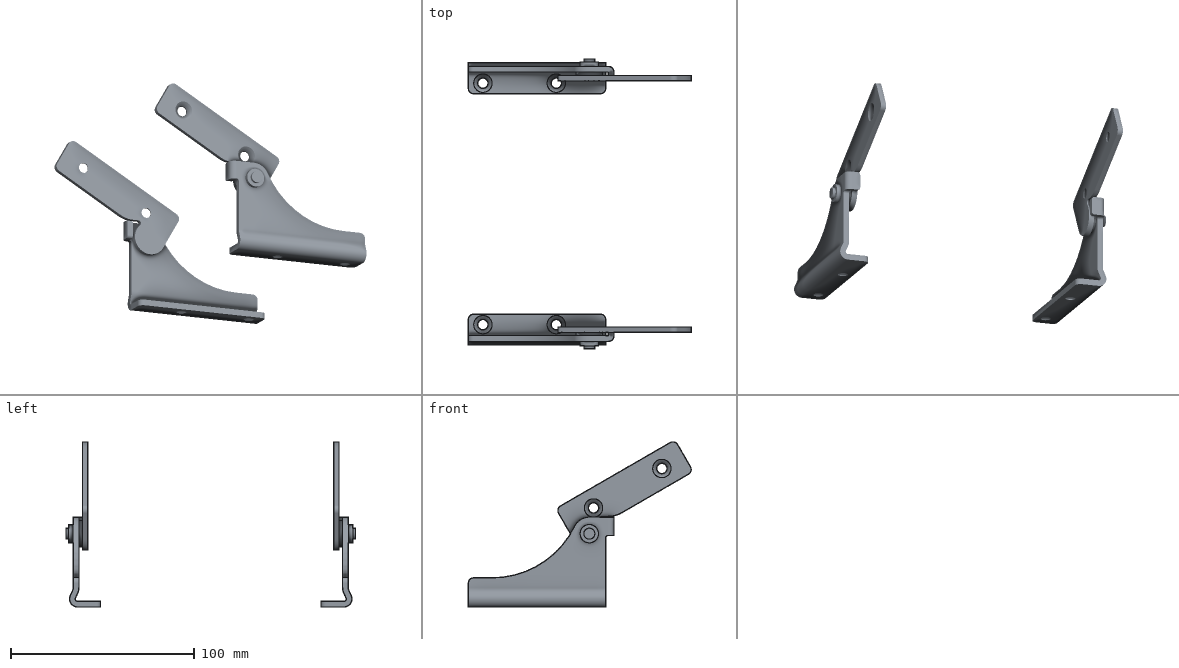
import cadquery as cq
import math


pin_end = 79.0
washer_outer = 77.4
plate_outer = 75.0
sheet = 3.2
plate_inner = plate_outer - sheet
arm_outer = 70.0
arm_thickness = 3.0
arm_inner = arm_outer - arm_thickness
foot_edge = 60.0

pivot_x = 66.0
pivot_z = 40.0
pin_radius = 3.0
pin_tail_radius = 2.5
washer_radius = 5.0
spacer_radius = 7.25
knuckle_radius = 9.0
cut_reach = 100.0

bracket_length = 75.0
toe_height = 16.0
corner_radius = 3.0
sweep_radius = 50.0
bracket_top = pivot_z + knuckle_radius
tab_height = 10.0
tab_outer_x = 79.5
tab_inner_x = tab_outer_x - sheet
tab_bottom = bracket_top - tab_height
tab_corner_radius = 1.5

joggle = 2.0
slope_angle = math.radians(24)
foot_bend_radius = 4.4
plate_bend_radius = 3.0

screw_radius = 2.75
sink_radius = 5.0
sink_depth = sink_radius - screw_radius
foot_hole_xs = (8.0, 48.0)
foot_hole_y = 65.8

arm_angle = 30.0
arm_end = 66.0
arm_low = 1.0
arm_high = 21.0
arm_hole_us = (9.0, 52.0)
arm_hole_v = (arm_low + arm_high) / 2
notch_blend_start = 21.0
notch_blend_radius = 15.0
notch_root_radius = 1.5


def polar(center, radius, angle):
    """Point at the given angle (radians) on a circle."""
    return (center[0] + radius * math.cos(angle), center[1] + radius * math.sin(angle))


def side_plane(outward):
    """XZ plane facing -Y, at the given distance outward."""
    return cq.Workplane("XZ", origin=(0, -outward, 0))


def pivot_disc(radius, inner, outer):
    """Cylinder on the pivot axis between two outward distances."""
    return side_plane(inner).center(pivot_x, pivot_z).circle(radius).extrude(outer - inner)


def countersunk_cutter(depth):
    """Screw hole along Z with its countersink mouth at the origin, facing +Z."""
    return (
        cq.Workplane("XZ")
        .lineTo(sink_radius, 0)
        .lineTo(screw_radius, -sink_depth)
        .lineTo(screw_radius, -depth)
        .lineTo(0, -depth)
        .close()
        .revolve(360, (0, 0), (0, 1))
    )


def bent_sheet():
    """Foot, foot bend, sloping strip and upright plate as one bent strip along X."""
    bend_rise = 1 - math.cos(slope_angle)
    slope_run = joggle - (foot_bend_radius + plate_bend_radius) * bend_rise
    slope_rise = slope_run / math.tan(slope_angle)
    foot_center = (plate_outer + joggle - foot_bend_radius, foot_bend_radius)
    plate_center = (
        plate_outer + plate_bend_radius,
        foot_bend_radius + slope_rise + (foot_bend_radius + plate_bend_radius) * math.sin(slope_angle),
    )
    foot_inner_radius = foot_bend_radius - sheet
    plate_inner_radius = plate_bend_radius + sheet
    foot_mid = (slope_angle - math.pi / 2) / 2
    plate_mid = math.pi + slope_angle / 2
    plate_start = math.pi + slope_angle

    plane = cq.Plane(origin=(0, 0, 0), xDir=(0, -1, 0), normal=(-1, 0, 0))
    return (
        cq.Workplane(plane)
        .moveTo(foot_edge, 0)
        .lineTo(foot_center[0], 0)
        .threePointArc(
            polar(foot_center, foot_bend_radius, foot_mid),
            polar(foot_center, foot_bend_radius, slope_angle),
        )
        .lineTo(*polar(plate_center, plate_bend_radius, plate_start))
        .threePointArc(
            polar(plate_center, plate_bend_radius, plate_mid),
            polar(plate_center, plate_bend_radius, math.pi),
        )
        .lineTo(plate_outer, bracket_top)
        .lineTo(plate_inner, bracket_top)
        .lineTo(*polar(plate_center, plate_inner_radius, math.pi))
        .threePointArc(
            polar(plate_center, plate_inner_radius, plate_mid),
            polar(plate_center, plate_inner_radius, plate_start),
        )
        .lineTo(*polar(foot_center, foot_inner_radius, slope_angle))
        .threePointArc(
            polar(foot_center, foot_inner_radius, foot_mid),
            (foot_center[0], sheet),
        )
        .lineTo(foot_edge, sheet)
        .close()
        .extrude(-tab_outer_x)
    )


def bracket_outline():
    """Side outline of the bracket, as a block that trims the bent sheet."""
    pivot = (pivot_x, pivot_z)
    sweep_z = toe_height + sweep_radius
    center_gap = sweep_radius + knuckle_radius
    lean = math.asin((sweep_z - pivot_z) / center_gap)
    sweep_center = (pivot_x - center_gap * math.cos(lean), sweep_z)
    knuckle_start = math.pi - lean
    relief_radius = tab_inner_x - bracket_length
    relief_center = (tab_inner_x, tab_bottom - relief_radius)
    return (
        cq.Workplane("XZ")
        .lineTo(bracket_length, 0)
        .lineTo(bracket_length, relief_center[1])
        .threePointArc(
            polar(relief_center, relief_radius, math.radians(135)),
            (tab_inner_x, tab_bottom),
        )
        .lineTo(tab_outer_x, tab_bottom)
        .lineTo(tab_outer_x, bracket_top)
        .lineTo(pivot_x, bracket_top)
        .threePointArc(
            polar(pivot, knuckle_radius, (math.pi / 2 + knuckle_start) / 2),
            polar(pivot, knuckle_radius, knuckle_start),
        )
        .threePointArc(
            polar(sweep_center, sweep_radius, -(math.pi / 2 + lean) / 2),
            (sweep_center[0], toe_height),
        )
        .lineTo(corner_radius, toe_height)
        .threePointArc(
            polar((corner_radius, toe_height - corner_radius), corner_radius, math.radians(135)),
            (0, toe_height - corner_radius),
        )
        .close()
        .extrude(cut_reach)
    )


def make_bracket():
    tab = (
        side_plane(arm_inner)
        .moveTo(tab_inner_x, tab_bottom)
        .rect(sheet, tab_height, centered=False)
        .extrude(plate_outer - arm_inner)
        .faces(">Y")
        .edges("|X")
        .fillet(tab_corner_radius)
    )
    body = bent_sheet().intersect(bracket_outline()).union(tab)

    body = body.edges(
        cq.selectors.NearestToPointSelector((tab_outer_x, -plate_outer, bracket_top - tab_height / 2))
    ).fillet(sheet)

    for corner_x in (0, bracket_length):
        body = body.edges(
            cq.selectors.NearestToPointSelector((corner_x, -foot_edge, sheet / 2))
        ).fillet(corner_radius)

    for hole_x in foot_hole_xs:
        body = body.cut(countersunk_cutter(sheet).translate((hole_x, -foot_hole_y, sheet)))
    return body.cut(pivot_disc(pin_radius, plate_inner, plate_outer))


def make_arm():
    pivot = (0, 0)
    tilt = math.radians(arm_angle)

    blend_center = (notch_blend_start, arm_low + notch_blend_radius)
    level_z = notch_blend_start * math.sin(tilt) + blend_center[1] * math.cos(tilt) - notch_blend_radius
    root_z = level_z - notch_root_radius
    root_x = math.sqrt((knuckle_radius + notch_root_radius) ** 2 - root_z ** 2)
    root_angle = math.atan2(root_z, root_x) - tilt
    root_center = polar(pivot, knuckle_radius + notch_root_radius, root_angle)
    root_start = math.pi / 2 - tilt
    root_end = root_angle + math.pi

    outline = (
        side_plane(arm_inner)
        .moveTo(-knuckle_radius, arm_high)
        .lineTo(arm_end, arm_high)
        .lineTo(arm_end, arm_low)
        .lineTo(notch_blend_start, arm_low)
        .threePointArc(
            polar(blend_center, notch_blend_radius, -math.pi / 2 - tilt / 2),
            polar(blend_center, notch_blend_radius, -math.pi / 2 - tilt),
        )
        .lineTo(*polar(root_center, notch_root_radius, root_start))
        .threePointArc(
            polar(root_center, notch_root_radius, (root_start + root_end) / 2),
            polar(root_center, notch_root_radius, root_end),
        )
        .threePointArc(
            polar(pivot, knuckle_radius, (root_angle - math.pi) / 2),
            (-knuckle_radius, 0),
        )
        .close()
    )
    body = outline.extrude(arm_thickness)
    for corner in ((-knuckle_radius, arm_high), (arm_end, arm_high), (arm_end, arm_low)):
        body = body.edges("|Y").edges(
            cq.selectors.NearestToPointSelector((corner[0], -arm_outer + arm_thickness / 2, corner[1]))
        ).fillet(corner_radius)

    cutter = countersunk_cutter(arm_thickness).rotate((0, 0, 0), (1, 0, 0), 90)
    for hole_u in arm_hole_us:
        body = body.cut(cutter.translate((hole_u, -arm_outer, arm_hole_v)))

    body = body.rotate((0, 0, 0), (0, 1, 0), -arm_angle).translate((pivot_x, 0, pivot_z))
    return body.cut(pivot_disc(pin_tail_radius, arm_inner, arm_outer))


def make_pin():
    tail = pivot_disc(pin_tail_radius, arm_inner, arm_outer)
    return pivot_disc(pin_radius, arm_outer, pin_end).union(tail)


def make_washer():
    ring = pivot_disc(washer_radius, plate_outer, washer_outer)
    return ring.cut(pivot_disc(pin_radius, plate_outer, washer_outer))


def make_spacer():
    ring = pivot_disc(spacer_radius, arm_outer, plate_inner)
    return ring.cut(pivot_disc(pin_radius, arm_outer, plate_inner))


bodies = []
for make_body in (make_bracket, make_arm, make_pin, make_washer, make_spacer):
    near_body = make_body()
    far_body = near_body.mirror("XZ")
    bodies.append(near_body.solids().val())
    bodies.append(far_body.solids().val())

result = cq.Compound.makeCompound(bodies)